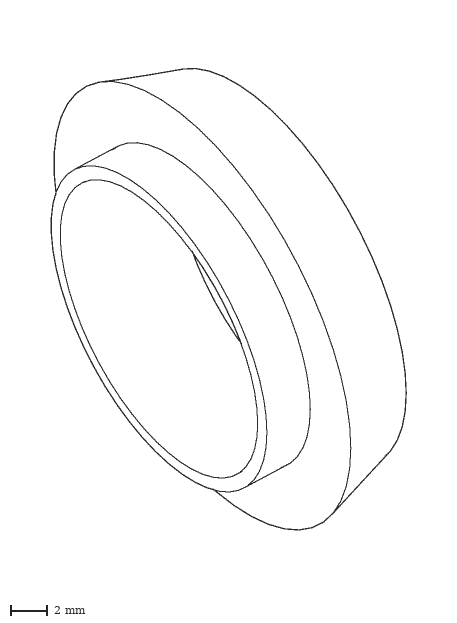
import cadquery as cq

flange_diameter = 27.5
back_diameter = 24.36
collar_diameter = 20.0
bore_diameter = 18.3
collar_length = 3.0
flange_length = 5.0

flange_radius = flange_diameter / 2
back_radius = back_diameter / 2
collar_radius = collar_diameter / 2
bore_radius = bore_diameter / 2

back_y = (collar_length + flange_length) / 2
shoulder_y = back_y - flange_length
front_y = -back_y

half_section = cq.Workplane("XY").polyline(
    [
        (bore_radius, front_y),
        (collar_radius, front_y),
        (collar_radius, shoulder_y),
        (flange_radius, shoulder_y),
        (back_radius, back_y),
        (bore_radius, back_y),
    ]
).close()

result = half_section.revolve(360, (0, 0, 0), (0, 1, 0))